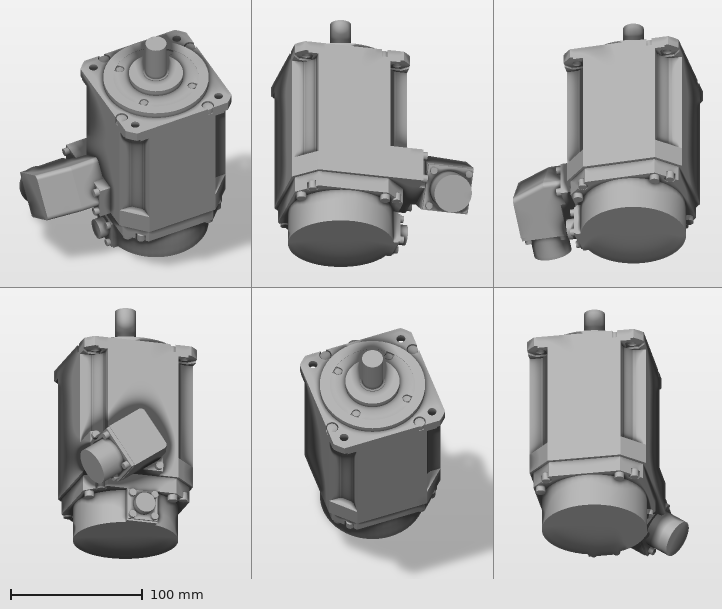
import cadquery as cq
import math

TOTAL_HEIGHT = 185.5
FRAME = 90.0
HALF_FRAME = FRAME / 2

COVER_DIA = 80.1
PLATE_BOTTOM = 26
PLATE_SIDE = 84.5
PLATE_CHAMFER = 15.0

BODY_BOTTOM = 38.2
BODY_CHAMFER = 16.9
GROOVE_BOTTOM = 54.0
FLANGE_BOTTOM = 136.3
FLANGE_TOP = 145.6
GROOVE_EDGE = HALF_FRAME - BODY_CHAMFER
RIB_STEP = 0.5
RIB_OUTER = 36.2
RIB_INNER = 34.7

FLANGE_CORNER_DIA = 118.3
MOUNT_HOLE_DIA = 6.7
MOUNT_HOLE_OFFSET = 35.5
NUT_SEAT_HEIGHT = 1.7
NUT_SEAT_INNER = 30.6
NUT_SEAT_SIDE = 9.0
FLANGE_SCREW_X = 23.5
FLANGE_SCREW_Y = 40.8
FLANGE_SCREW_HEAD_DIA = 8.0
FLANGE_SCREW_POCKET_DIA = 9.3
FLANGE_SCREW_POCKET_DEPTH = 6.0
FLANGE_SCREW_SINK = 1.1

PILOT_DIA = COVER_DIA
PILOT_TOP = 150.5
CAP_DIA = 64.7
CAP_SINK = 0.2
CAP_SCREW_OFFSET = 20.4
CAP_SCREW_DIA = 5.4
CAP_SLOT_WIDTH = 6.7
CAP_SLOT_DEPTH = 1.7
CAP_SCREW_SINK = 0.7
BOSS_DIA = 41.2
BOSS_TOP = 155.0
COLLAR_DIA = 19.0
COLLAR_TOP = 155.8
SHAFT_DIA = 16.0

COVER_SCREW_X = 25.8
COVER_SCREW_Y = 37.0
COVER_SCREW_DIA = 7.5
COVER_SCREW_HEIGHT = 4.3
PLATE_SCREW_X = 36.4
PLATE_SCREW_Y = 30.8
PLATE_SCREW_DIA = 6.3
PLATE_POCKET_DIA = 8.9
PLATE_POCKET_TOP = 31.2
PLATE_SCREW_BOTTOM = 25.2

ENCODER_PAD_WIDTH = 24.0
ENCODER_PAD_FACE = PLATE_SIDE / 2
ENCODER_PLATE_SIDE = 23.4
ENCODER_PLATE_FACE = 43.8
ENCODER_SCREW_FACE = 46.7
ENCODER_SCREW_DIA = 5.5
ENCODER_SCREW_PITCH = 17.5
ENCODER_PLUG_DIA = 15.5
ENCODER_PLUG_FACE = 50.8

BLOCK_RIGHT = 12.8
BLOCK_TOP = 64.5
BLOCK_FACE = 53.8
BLOCK_SCREW_DIA = 6.0
BLOCK_SCREW_HEIGHT = 3.7
BLOCK_SCREW_INSET = 3.5
SPACER_LEFT = -32.6
SPACER_WIDTH = 27.8
SPACER_TOP = 61.2

ELBOW_TILT = 35
ELBOW_X = -29.3
ELBOW_Z = 42.0
ELBOW_WIDTH = 36.0
ELBOW_BACK = 45.6
ELBOW_STEP = 57.9
ELBOW_FACE = 93.7
ELBOW_NECK_START = 8.5
ELBOW_MOUTH = -3.5
ELBOW_END = 38.0
ELBOW_SLOPE_START = 68.3
ELBOW_SLOPE_RUN = 9.3
ELBOW_FILLET = 3.5
PLUG_PLATE_THICKNESS = 2.8
PLUG_PLATE_INSET = 0.4
PLUG_DIA = 29.0
PLUG_END = -25.8
PLUG_SCREW_DIA = 5.2
PLUG_SCREW_LENGTH = 3.9
PLUG_SCREW_PITCH = 27.3


def cylinder(diameter, bottom, top, x=0, y=0):
    return cq.Workplane("XY", origin=(x, y, bottom)).circle(diameter / 2).extrude(top - bottom)


def block(x_range, y_range, z_range):
    sizes = [high - low for low, high in (x_range, y_range, z_range)]
    low_corner = (x_range[0], y_range[0], z_range[0])
    return cq.Workplane("XY").box(*sizes, centered=False).translate(low_corner)


def chamfered_square(side, chamfer, bottom, top):
    base = cq.Workplane("XY", origin=(0, 0, bottom)).rect(side, side).extrude(top - bottom)
    return base.edges("|Z").chamfer(chamfer)


def four_around(shape):
    """The shape repeated every 90 degrees about the motor axis."""
    pattern = shape
    for turn in range(1, 4):
        pattern = pattern.union(shape.rotate((0, 0, 0), (0, 0, 1), 90 * turn))
    return pattern


def front_cylinders(points, diameter, back, front):
    """Cylinders along -Y, from y = -back to y = -front, at (x, z) points."""
    plane = cq.Workplane("XZ", origin=(0, -back, 0))
    return plane.pushPoints(points).circle(diameter / 2).extrude(front - back)


def square_corners(pitch, center_x=0, center_y=0):
    half = pitch / 2
    return [(center_x + i * half, center_y + j * half) for i in (-1, 1) for j in (-1, 1)]


def make_body():
    body = chamfered_square(FRAME, BODY_CHAMFER, BODY_BOTTOM, GROOVE_BOTTOM)
    upper = cq.Workplane("XY", origin=(0, 0, GROOVE_BOTTOM)).rect(FRAME, FRAME)
    body = body.union(upper.extrude(FLANGE_BOTTOM - GROOVE_BOTTOM))
    rib_face = GROOVE_EDGE + RIB_STEP
    groove_points = [
        (FRAME, GROOVE_EDGE),
        (RIB_OUTER, GROOVE_EDGE),
        (RIB_OUTER, rib_face),
        (RIB_INNER, rib_face),
        (rib_face, RIB_INNER),
        (rib_face, RIB_OUTER),
        (GROOVE_EDGE, RIB_OUTER),
        (GROOVE_EDGE, FRAME),
        (FRAME, FRAME),
    ]
    groove = cq.Workplane("XY", origin=(0, 0, GROOVE_BOTTOM)).polyline(groove_points).close()
    return body.cut(four_around(groove.extrude(FLANGE_BOTTOM - GROOVE_BOTTOM)))


def make_flange():
    thickness = FLANGE_TOP - FLANGE_BOTTOM
    flange = cq.Workplane("XY", origin=(0, 0, FLANGE_BOTTOM)).rect(FRAME, FRAME).extrude(thickness)
    flange = flange.intersect(cylinder(FLANGE_CORNER_DIA, FLANGE_BOTTOM, FLANGE_TOP))

    hole = cylinder(MOUNT_HOLE_DIA, FLANGE_BOTTOM, FLANGE_TOP, MOUNT_HOLE_OFFSET, MOUNT_HOLE_OFFSET)
    seat_turn = NUT_SEAT_INNER + NUT_SEAT_SIDE
    seat_points = [
        (NUT_SEAT_INNER, NUT_SEAT_INNER),
        (seat_turn, NUT_SEAT_INNER),
        (FRAME, FRAME - NUT_SEAT_SIDE),
        (FRAME - NUT_SEAT_SIDE, FRAME),
        (NUT_SEAT_INNER, seat_turn),
    ]
    seat = cq.Workplane("XY", origin=(0, 0, FLANGE_BOTTOM)).polyline(seat_points).close()
    flange = flange.cut(four_around(hole.union(seat.extrude(NUT_SEAT_HEIGHT))))

    pocket_floor = FLANGE_TOP - FLANGE_SCREW_POCKET_DEPTH
    head_top = FLANGE_TOP - FLANGE_SCREW_SINK
    place = (FLANGE_SCREW_X, -FLANGE_SCREW_Y)
    pocket = cylinder(FLANGE_SCREW_POCKET_DIA, pocket_floor, FLANGE_TOP, *place)
    head = cylinder(FLANGE_SCREW_HEAD_DIA, pocket_floor, head_top, *place)
    return flange.cut(four_around(pocket)).union(four_around(head))


def make_front_end():
    cap_top = PILOT_TOP - CAP_SINK
    pilot = cylinder(PILOT_DIA, FLANGE_TOP, PILOT_TOP).cut(cylinder(CAP_DIA, cap_top, PILOT_TOP))

    screw_radius = CAP_SCREW_OFFSET * math.sqrt(2)
    slot_floor = PILOT_TOP - CAP_SLOT_DEPTH
    slot = cylinder(CAP_SLOT_WIDTH, slot_floor, PILOT_TOP, screw_radius)
    half_width = CAP_SLOT_WIDTH / 2
    outlet = block((screw_radius, CAP_DIA / 2), (-half_width, half_width), (slot_floor, PILOT_TOP))
    slot = slot.union(outlet)
    slot = slot.intersect(cylinder(CAP_DIA, slot_floor, PILOT_TOP))
    head = cylinder(CAP_SCREW_DIA, slot_floor, PILOT_TOP - CAP_SCREW_SINK, screw_radius)
    slots = four_around(slot.cut(head)).rotate((0, 0, 0), (0, 0, 1), 45)

    pilot = pilot.cut(slots)
    pilot = pilot.union(cylinder(BOSS_DIA, cap_top, BOSS_TOP))
    pilot = pilot.union(cylinder(COLLAR_DIA, BOSS_TOP, COLLAR_TOP))
    return pilot.union(cylinder(SHAFT_DIA, COLLAR_TOP, TOTAL_HEIGHT))


def make_rear_end():
    plate = chamfered_square(PLATE_SIDE, PLATE_CHAMFER, PLATE_BOTTOM, BODY_BOTTOM)
    place = (PLATE_SCREW_X, -PLATE_SCREW_Y)
    pocket = cylinder(PLATE_POCKET_DIA, PLATE_BOTTOM, PLATE_POCKET_TOP, *place)
    sunk_head = cylinder(PLATE_SCREW_DIA, PLATE_SCREW_BOTTOM, PLATE_POCKET_TOP, *place)
    rear = plate.cut(four_around(pocket)).union(four_around(sunk_head))

    cover_head_bottom = PLATE_BOTTOM - COVER_SCREW_HEIGHT
    cover_place = (COVER_SCREW_X, -COVER_SCREW_Y)
    cover_head = cylinder(COVER_SCREW_DIA, cover_head_bottom, PLATE_BOTTOM, *cover_place)
    return rear.union(four_around(cover_head)).union(cylinder(COVER_DIA, 0, PLATE_BOTTOM))


def make_encoder_socket():
    center_z = PLATE_BOTTOM / 2
    half_pad = ENCODER_PAD_WIDTH / 2
    half_plate = ENCODER_PLATE_SIDE / 2
    socket = block((-half_pad, half_pad), (-ENCODER_PAD_FACE, 0), (0, PLATE_BOTTOM))
    socket = socket.union(block(
        (-half_plate, half_plate),
        (-ENCODER_PLATE_FACE, -ENCODER_PAD_FACE),
        (center_z - half_plate, center_z + half_plate),
    ))
    screws = square_corners(ENCODER_SCREW_PITCH, 0, center_z)
    socket = socket.union(
        front_cylinders(screws, ENCODER_SCREW_DIA, ENCODER_PLATE_FACE, ENCODER_SCREW_FACE))
    return socket.union(
        front_cylinders([(0, center_z)], ENCODER_PLUG_DIA, ENCODER_PLATE_FACE, ENCODER_PLUG_FACE))


def make_terminal_block():
    terminal = block((-HALF_FRAME, BLOCK_RIGHT), (-BLOCK_FACE, -GROOVE_EDGE), (BODY_BOTTOM, BLOCK_TOP))
    corner_fill = block((-HALF_FRAME, 0), (-HALF_FRAME, 0), (BODY_BOTTOM, BLOCK_TOP))
    screws = [
        (x, z)
        for x in (-HALF_FRAME + BLOCK_SCREW_INSET, BLOCK_RIGHT - BLOCK_SCREW_INSET)
        for z in (BODY_BOTTOM + BLOCK_SCREW_INSET, BLOCK_TOP - BLOCK_SCREW_INSET)
    ]
    heads = front_cylinders(screws, BLOCK_SCREW_DIA, BLOCK_FACE, BLOCK_FACE + BLOCK_SCREW_HEIGHT)
    spacer = block(
        (SPACER_LEFT, SPACER_LEFT + SPACER_WIDTH),
        (-ELBOW_STEP, -BLOCK_FACE),
        (BODY_BOTTOM, SPACER_TOP),
    )
    return terminal.union(corner_fill).union(heads).union(spacer)


def make_elbow():
    profile = [
        (ELBOW_NECK_START, -ELBOW_BACK),
        (ELBOW_END, -ELBOW_BACK),
        (ELBOW_END, -ELBOW_SLOPE_START),
        (ELBOW_END - ELBOW_SLOPE_RUN, -ELBOW_FACE),
        (ELBOW_MOUTH, -ELBOW_FACE),
        (ELBOW_MOUTH, -ELBOW_STEP),
        (ELBOW_NECK_START, -ELBOW_STEP),
    ]
    half_width = ELBOW_WIDTH / 2
    elbow = cq.Workplane("XY").polyline(profile).close().extrude(half_width, both=True)
    end_edges = cq.selectors.BoxSelector(
        (ELBOW_END - ELBOW_SLOPE_RUN, -ELBOW_FACE, -ELBOW_WIDTH),
        (ELBOW_END + ELBOW_FILLET, -ELBOW_BACK - ELBOW_FILLET, ELBOW_WIDTH),
    )
    elbow = elbow.edges(end_edges).edges("not |Z").fillet(ELBOW_FILLET)

    plate_face = ELBOW_MOUTH - PLUG_PLATE_THICKNESS
    center_y = -(ELBOW_STEP + ELBOW_FACE) / 2
    plate_depth = ELBOW_FACE - ELBOW_STEP - 2 * PLUG_PLATE_INSET
    plate_width = ELBOW_WIDTH - 2 * PLUG_PLATE_INSET
    plate = cq.Workplane("YZ", origin=(ELBOW_MOUTH, center_y, 0)).rect(plate_depth, plate_width)
    plate = plate.extrude(-PLUG_PLATE_THICKNESS)
    mouth = cq.Workplane("YZ", origin=(plate_face, center_y, 0))
    plug = mouth.circle(PLUG_DIA / 2).extrude(PLUG_END - plate_face)
    screws = mouth.pushPoints(square_corners(PLUG_SCREW_PITCH)).circle(PLUG_SCREW_DIA / 2)
    elbow = elbow.union(plate).union(plug).union(screws.extrude(-PLUG_SCREW_LENGTH))

    elbow = elbow.rotate((0, 0, 0), (0, 1, 0), -ELBOW_TILT).translate((ELBOW_X, 0, ELBOW_Z))
    below_block = block((-FRAME, FRAME), (-ELBOW_STEP, 0), (0, BODY_BOTTOM))
    return elbow.cut(below_block)


result = (
    make_body()
    .union(make_flange())
    .union(make_front_end())
    .union(make_rear_end())
    .union(make_encoder_socket())
    .union(make_terminal_block())
    .union(make_elbow())
)